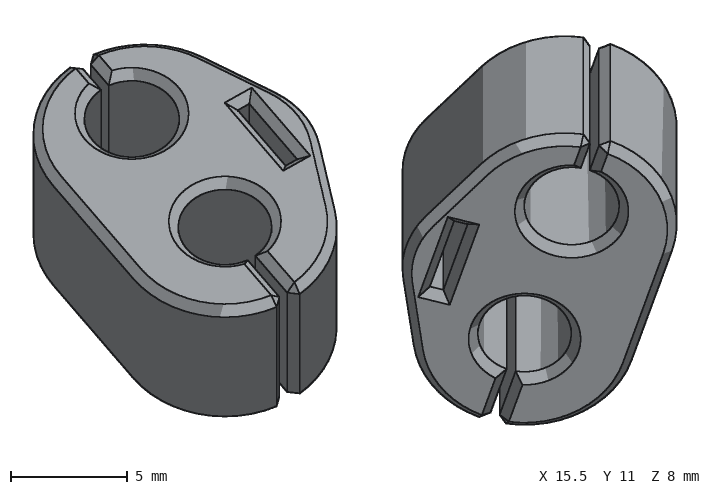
import cadquery as cq
import math

length = 15.53
height = 8.0
chamfer = 0.4
slit_width = 0.4
side_radius = 4.8
lip_half_width = slit_width / 2 + chamfer
side_offset = length / 2 - math.sqrt(side_radius**2 - lip_half_width**2)

crown_radius = 4.2
crown_center_y = 2.0

left_hole_x = -4.0
left_hole_radius = 2.03
right_hole_x = side_offset
right_hole_radius = 2.0

slot_length = 3.6
slot_width = 0.6
slot_center_y = 4.3


def point_on_arc(center_x, center_y, radius, angle):
    """Point on a circle, with the angle measured from +Y toward +X."""
    return (center_x + radius * math.sin(angle), center_y + radius * math.cos(angle))


def make_body():
    """Extrude the flat-bottomed outline whose flanks are tangent to the ends and the crown."""
    center_distance = math.hypot(side_offset, crown_center_y)
    center_line_angle = math.atan2(crown_center_y, side_offset)
    flank_angle = center_line_angle - math.asin((side_radius - crown_radius) / center_distance)

    crown_end = point_on_arc(0, crown_center_y, crown_radius, flank_angle)
    side_start = point_on_arc(side_offset, 0, side_radius, flank_angle)
    side_middle = point_on_arc(side_offset, 0, side_radius, math.pi / 2)

    def mirrored(point):
        return (-point[0], point[1])

    return (
        cq.Workplane("XY")
        .moveTo(-side_offset, -side_radius)
        .lineTo(side_offset, -side_radius)
        .threePointArc(side_middle, side_start)
        .lineTo(*crown_end)
        .threePointArc((0, crown_center_y + crown_radius), mirrored(crown_end))
        .lineTo(*mirrored(side_start))
        .threePointArc(mirrored(side_middle), (-side_offset, -side_radius))
        .close()
        .extrude(height)
    )


def make_clip_opening(hole_x, hole_radius, side):
    """Round hole with a narrow slit leading out toward the given side (-1 or +1 along X)."""
    slit_length = side_offset + side_radius
    hole = cq.Workplane("XY").center(hole_x, 0).circle(hole_radius).extrude(height)
    slit = (
        cq.Workplane("XY")
        .center(hole_x + side * slit_length / 2, 0)
        .rect(slit_length, slit_width)
        .extrude(height)
    )
    return hole.union(slit)


def make_strap_slot():
    """Rectangular through slot below the crown."""
    return cq.Workplane("XY").center(0, slot_center_y).rect(slot_length, slot_width).extrude(height)


def chamfer_edges(part):
    """Chamfer both end faces and the four vertical slit edges on the outside, together."""
    lip_inner_x = side_offset + side_radius - chamfer
    lip_outer_x = side_offset + side_radius + chamfer
    left_lips = cq.selectors.BoxSelector(
        (-lip_outer_x, -slit_width, 0), (-lip_inner_x, slit_width, height)
    )
    right_lips = cq.selectors.BoxSelector(
        (lip_inner_x, -slit_width, 0), (lip_outer_x, slit_width, height)
    )
    lip_edges = part.edges("|Z").edges(left_lips + right_lips)
    end_edges = part.faces("<Z or >Z").edges()
    return end_edges.add(lip_edges).chamfer(chamfer)


body = make_body()
body = body.cut(make_clip_opening(left_hole_x, left_hole_radius, -1))
body = body.cut(make_clip_opening(right_hole_x, right_hole_radius, 1))
body = body.cut(make_strap_slot())
result = chamfer_edges(body)